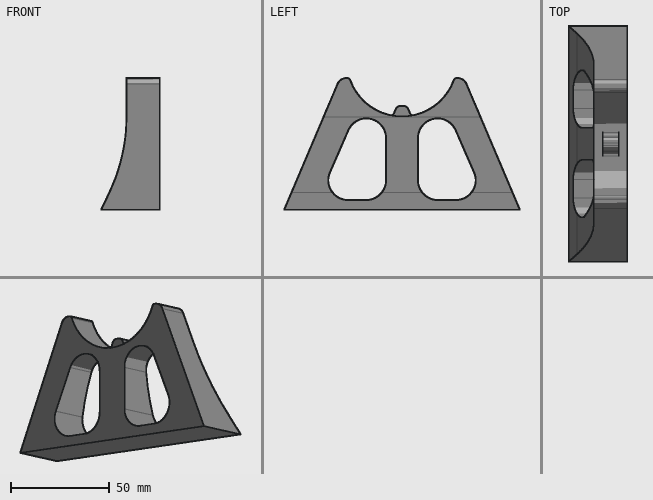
import cadquery as cq
import math

length = 120.0
height = 67.1
base_depth = 30.0
wall_depth = 17.0
flank_angle = math.radians(67)
horn_outer_radius = 5.0
horn_inner_radius = 1.7

front_radius = 89.0
front_arc_top = 47.3

cradle_radius = 28.0
cradle_bottom = 47.5
cradle_center = cradle_bottom + cradle_radius

window_radius = 10.0
window_inner = 8.2
window_outer = 37.5
window_bottom = 5.0
window_top = 46.5

key_width = 7.9
key_top = 52.9
key_tip_half = 2.6
key_root_half = 4.5
key_tip_radius = 3.0
key_root_radius = 1.7
key_pad_half = 7.2
key_pad_bottom = 45.6


def cradle_height(y):
    return cradle_center - math.sqrt(cradle_radius**2 - y**2)


def make_body():
    """Block with sloping flanks, a round cradle and rounded horns."""
    half_length = length / 2
    shoulder = half_length - height / math.tan(flank_angle)
    lip = math.sqrt(cradle_radius**2 - (cradle_center - height) ** 2)
    body = (
        cq.Workplane("YZ")
        .moveTo(-half_length, 0)
        .lineTo(half_length, 0)
        .lineTo(shoulder, height)
        .lineTo(lip, height)
        .threePointArc((0, cradle_bottom), (-lip, height))
        .lineTo(-shoulder, height)
        .close()
        .extrude(base_depth)
    )
    for corner, radius in ((shoulder, horn_outer_radius), (lip, horn_inner_radius)):
        for y in (-corner, corner):
            body = body.edges(cq.NearestToPointSelector((base_depth / 2, y, height))).fillet(radius)
    return body


def make_front_profile():
    """Side profile that limits the body along X."""
    wall_x = base_depth - wall_depth
    center_x = wall_x - front_radius
    center_distance = math.hypot(center_x, front_arc_top)
    tangent_angle = math.atan2(-front_arc_top, -center_x) + math.acos(front_radius / center_distance)

    def arc_point(angle):
        return (center_x + front_radius * math.cos(angle), front_arc_top + front_radius * math.sin(angle))

    return (
        cq.Workplane("XZ")
        .moveTo(0, 0)
        .lineTo(*arc_point(tangent_angle))
        .threePointArc(arc_point(tangent_angle / 2), (wall_x, front_arc_top))
        .lineTo(wall_x, height)
        .lineTo(base_depth, height)
        .lineTo(base_depth, 0)
        .close()
        .extrude(length / 2, both=True)
    )


def make_window(side):
    """Rounded three-cornered through window; side is +1 or -1 along Y."""
    r = window_radius
    inner_y = window_inner + r
    outer_y = window_outer - r
    low_z = window_bottom + r
    high_z = window_top - r
    normal = math.atan2(outer_y - inner_y, high_z - low_z)

    def rim(y, z, angle):
        return (side * (y + r * math.cos(angle)), z + r * math.sin(angle))

    down = -math.pi / 2
    top_middle = (normal + math.pi) / 2
    outer_middle = (normal + down) / 2
    inner_middle = -3 * math.pi / 4
    return (
        cq.Workplane("YZ")
        .moveTo(*rim(inner_y, high_z, math.pi))
        .threePointArc(rim(inner_y, high_z, top_middle), rim(inner_y, high_z, normal))
        .lineTo(*rim(outer_y, low_z, normal))
        .threePointArc(rim(outer_y, low_z, outer_middle), rim(outer_y, low_z, down))
        .lineTo(*rim(inner_y, low_z, down))
        .threePointArc(rim(inner_y, low_z, inner_middle), rim(inner_y, low_z, math.pi))
        .close()
        .extrude(base_depth)
    )


def make_key():
    """Tapered key with rounded tip and root, on a pad that sinks into the middle rib."""
    root_z = cradle_height(key_root_half)
    pad_z = cradle_height(key_pad_half)
    middle_y = (key_root_half + key_pad_half) / 2
    middle_z = cradle_height(middle_y)
    start_x = base_depth - (wall_depth + key_width) / 2
    key = (
        cq.Workplane("YZ", origin=(start_x, 0, 0))
        .moveTo(-key_pad_half, key_pad_bottom)
        .lineTo(key_pad_half, key_pad_bottom)
        .lineTo(key_pad_half, pad_z)
        .threePointArc((middle_y, middle_z), (key_root_half, root_z))
        .lineTo(key_tip_half, key_top)
        .lineTo(-key_tip_half, key_top)
        .lineTo(-key_root_half, root_z)
        .threePointArc((-middle_y, middle_z), (-key_pad_half, pad_z))
        .close()
        .extrude(key_width)
    )
    key_x = start_x + key_width / 2
    corners = ((key_tip_half, key_top, key_tip_radius), (key_root_half, root_z, key_root_radius))
    for y, z, radius in corners:
        for side in (-1, 1):
            key = key.edges(cq.NearestToPointSelector((key_x, side * y, z))).fillet(radius)
    return key


result = make_body().intersect(make_front_profile())
for window_side in (-1, 1):
    result = result.cut(make_window(window_side))
result = result.union(make_key())